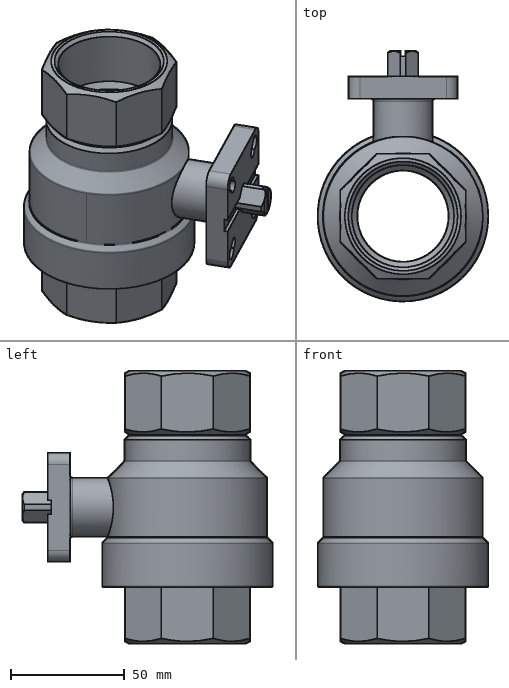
import cadquery as cq
import math


length = 120.0
depth = 110.0
stem_z = length / 2

octagon_sides = 8
across_flats = 55.0
octagon_corner_diameter = across_flats / math.cos(math.pi / octagon_sides)
end_face_diameter = 51.0
end_bevel_angle = 30.0
upper_octagon_bottom = 91.9

ring_diameter = 75.0
ring_bottom = 25.0
body_diameter = 70.1
ring_shoulder_top = 46.8
ring_top = ring_shoulder_top - (ring_diameter - body_diameter) / 2
body_top = 73.0
collar_diameter = 55.5
collar_bottom = body_top + (body_diameter - collar_diameter) / 2
collar_top = 89.6
groove_diameter = 51.8
groove_bottom = collar_top + (collar_diameter - groove_diameter) / 2
body_edge_radius = 0.6

bore_diameter = 40.0
socket_diameter = 44.9
socket_mouth_diameter = 48.0
socket_depth = 24.8

neck_diameter = 26.0
neck_fillet = 1.0
flange_width = 48.0
flange_corner_radius = 5.0
flange_near = 51.5
flange_far = 61.3
groove_width = 6.0
groove_depth = 1.5

outer_bolt_circle = 50.0
outer_bolt_hole = 6.6
inner_bolt_circle = 42.0
inner_bolt_hole = 5.4

stem_tip = depth - ring_diameter / 2
stem_side = 11.4
stem_across_corners = 13.5
stem_tip_diameter = 11.0
stem_bevel_width = 1.3
stem_bevel_depth = 0.8
slot_width = 1.8
slot_depth = 2.3


def revolve_profile(points):
    """Turn a closed (radius, z) outline around the pipe axis."""
    return cq.Workplane("XZ").polyline(points).close().revolve(360, (0, 0, 0), (0, 1, 0))


def along_y(start):
    """Workplane facing +Y, centred on the stem axis at the given Y."""
    return cq.Workplane("XZ", origin=(0, start, stem_z)).transformed(rotate=(0, 180, 0))


def octagon_end(bottom, top, bevel_bottom, bevel_top):
    """Octagonal prism whose chosen ends are turned to a shallow cone."""
    prism = (
        cq.Workplane("XY", origin=(0, 0, bottom))
        .transformed(rotate=(0, 0, 180 / octagon_sides))
        .polygon(octagon_sides, octagon_corner_diameter)
        .extrude(top - bottom)
    )
    face_radius = end_face_diameter / 2
    outer_radius = ring_diameter / 2
    drop = (outer_radius - face_radius) * math.tan(math.radians(end_bevel_angle))
    if bevel_bottom:
        prism = prism.cut(
            revolve_profile([(face_radius, bottom), (outer_radius, bottom), (outer_radius, bottom + drop)])
        )
    if bevel_top:
        prism = prism.cut(
            revolve_profile([(face_radius, top), (outer_radius, top), (outer_radius, top - drop)])
        )
    return prism


def turned_body():
    """Outside of the body between the pipe ends, with its step edges rounded."""
    ring_radius = ring_diameter / 2
    body_radius = body_diameter / 2
    sharp = revolve_profile([
        (0, ring_bottom),
        (ring_radius, ring_bottom),
        (ring_radius, ring_top),
        (body_radius, ring_shoulder_top),
        (body_radius, body_top),
        (collar_diameter / 2, collar_bottom),
        (collar_diameter / 2, collar_top),
        (groove_diameter / 2, groove_bottom),
        (groove_diameter / 2, upper_octagon_bottom),
        (0, upper_octagon_bottom),
    ])
    rounded_heights = (ring_bottom, ring_top, ring_shoulder_top, body_top, collar_bottom)

    def is_rounded(edge):
        return edge.geomType() == "CIRCLE" and any(
            math.isclose(edge.Center().z, height, abs_tol=0.001) for height in rounded_heights
        )

    return sharp.edges().filter(is_rounded).fillet(body_edge_radius)


def flow_passage():
    """Through bore with a bevelled socket at each end."""
    bore_radius = bore_diameter / 2
    socket_radius = socket_diameter / 2
    mouth_radius = socket_mouth_diameter / 2
    mouth_depth = mouth_radius - socket_radius
    floor_depth = socket_depth + socket_radius - bore_radius
    return revolve_profile([
        (0, 0),
        (mouth_radius, 0),
        (socket_radius, mouth_depth),
        (socket_radius, socket_depth),
        (bore_radius, floor_depth),
        (bore_radius, length - floor_depth),
        (socket_radius, length - socket_depth),
        (socket_radius, length - mouth_depth),
        (mouth_radius, length),
        (0, length),
    ])


def mounting_flange():
    """Square plate with bolt holes and a groove across its outer face."""
    thickness = flange_far - flange_near
    plate = (
        along_y(flange_near)
        .rect(flange_width, flange_width)
        .extrude(thickness)
        .edges("|Y")
        .fillet(flange_corner_radius)
    )
    for circle, hole in ((outer_bolt_circle, outer_bolt_hole), (inner_bolt_circle, inner_bolt_hole)):
        holes = along_y(flange_near).polarArray(circle / 2, 45, 360, 4).circle(hole / 2).extrude(thickness)
        plate = plate.cut(holes)
    groove = along_y(flange_far - groove_depth).rect(flange_width, groove_width).extrude(groove_depth)
    return plate.cut(groove)


def neck():
    """Round neck from the pipe axis to the flange, flared by a fillet at the flange."""
    radius = neck_diameter / 2
    fillet_start = flange_near - neck_fillet
    fillet_middle = neck_fillet * (1 - math.sqrt(0.5))
    return (
        cq.Workplane("XY")
        .moveTo(0, 0)
        .lineTo(radius, 0)
        .lineTo(radius, fillet_start)
        .threePointArc(
            (radius + fillet_middle, flange_near - fillet_middle),
            (radius + neck_fillet, flange_near),
        )
        .lineTo(0, flange_near)
        .close()
        .revolve(360, (0, 0, 0), (0, 1, 0))
        .translate((0, 0, stem_z))
    )


def stem():
    """Stem from the groove floor to its bevelled, slotted tip."""
    start = flange_far - groove_depth
    reach = stem_tip - start
    square = along_y(start).transformed(rotate=(0, 0, 45)).rect(stem_side, stem_side).extrude(reach)
    corner_cut = along_y(start).rect(stem_across_corners, stem_across_corners).extrude(reach)
    tip_radius = stem_tip_diameter / 2
    clear_radius = tip_radius + 2 * stem_bevel_width
    tip_cone = (
        cq.Workplane("XY")
        .polyline([
            (0, start),
            (clear_radius, start),
            (clear_radius, stem_tip - 2 * stem_bevel_depth),
            (tip_radius, stem_tip),
            (0, stem_tip),
        ])
        .close()
        .revolve(360, (0, 0, 0), (0, 1, 0))
        .translate((0, 0, stem_z))
    )
    slot = along_y(stem_tip - slot_depth).rect(slot_width, 2 * stem_side).extrude(slot_depth)
    return square.intersect(corner_cut).intersect(tip_cone).cut(slot)


result = (
    turned_body()
    .union(octagon_end(0, ring_bottom, True, False))
    .union(octagon_end(upper_octagon_bottom, length, True, True))
    .union(neck())
    .cut(flow_passage())
    .union(mounting_flange())
    .union(stem())
)